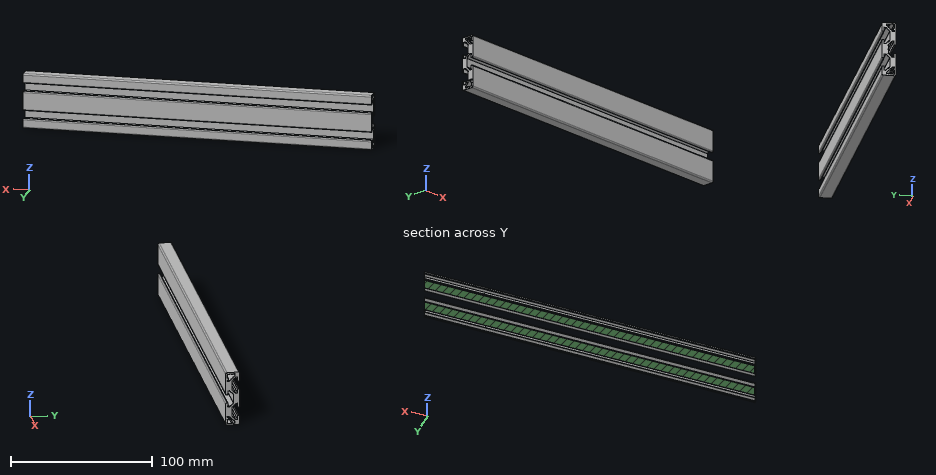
import cadquery as cq

length = 253.0
depth = 10.0
height = 40.0
corner_radius = 1.0

slot_pitch = height / 4
slot_opening = 6.0
lip_thickness = 1.5
lip_radius = 0.8
cavity_half_height = 6.0
cavity_shoulder = 1.3
floor_past_center = 0.5

wall = 1.3
chamber_toe = 1.8
chamber_inner_end = 13.5
chamber_slope_offset = 16.0
side_rib_radius = 0.89
end_rib_radius = 0.5
side_rib_z = 15.0
end_rib_y = -0.3

slots = [(-1, 0), (1, slot_pitch), (1, -slot_pitch)]

half_depth = depth / 2
half_height = height / 2


def extrude_section(sketch):
    return sketch.extrude(length / 2, both=True)


def round_rib(y, z, radius):
    """Full-length round bar that leaves a half-round ridge on a chamber wall."""
    return extrude_section(cq.Workplane("YZ").center(y, z).circle(radius))


def t_slot(side, center_z):
    """Slot cutter entering from the face at side * Y, with a 45 degree tapered cavity."""
    lip_y = half_depth - lip_thickness
    shoulder_y = lip_y - cavity_shoulder
    floor_half = cavity_half_height - (shoulder_y + floor_past_center)
    upper = [
        (half_depth, slot_opening / 2),
        (lip_y, slot_opening / 2),
        (lip_y, cavity_half_height),
        (shoulder_y, cavity_half_height),
        (-floor_past_center, floor_half),
    ]
    lower = [(y, -z) for y, z in reversed(upper)]
    points = [(side * y, center_z + z) for y, z in upper + lower]
    return extrude_section(cq.Workplane("YZ").polyline(points).close())


def chamber():
    """Upper chamber cutter with small ribs left on its end and side walls."""
    top_z = half_height - wall
    side_y = -half_depth + wall
    points = [
        (side_y, top_z),
        (chamber_toe, top_z),
        (chamber_toe, chamber_slope_offset + chamber_toe),
        (chamber_inner_end - chamber_slope_offset, chamber_inner_end),
        (side_y, chamber_inner_end),
    ]
    cutter = extrude_section(cq.Workplane("YZ").polyline(points).close())
    side_rib = round_rib(side_y, side_rib_z, side_rib_radius)
    end_rib = round_rib(end_rib_y, top_z, end_rib_radius)
    return cutter.cut(side_rib).cut(end_rib)


body = cq.Workplane("XY").box(length, depth, height).edges("|X").fillet(corner_radius)

for side, center_z in slots:
    body = body.cut(t_slot(side, center_z))

for side, center_z in slots:
    for end in (-1, 1):
        lip_point = (0, side * half_depth, center_z + end * slot_opening / 2)
        body = body.edges(cq.selectors.NearestToPointSelector(lip_point)).fillet(lip_radius)

upper_chamber = chamber()
result = body.cut(upper_chamber).cut(upper_chamber.mirror("XY"))